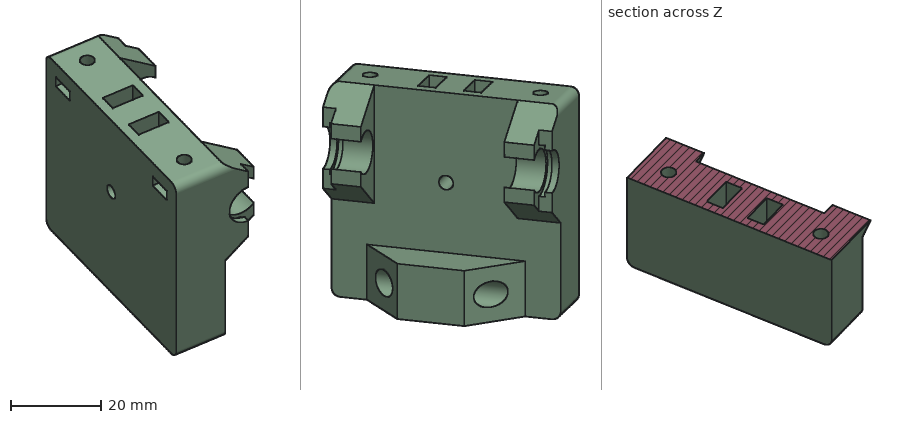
import cadquery as cq

WIDTH = 53.45
HEIGHT = 50.3
BODY_DEPTH = 12.95
CORNER_RADIUS = 2.05

TOTAL_DEPTH = 23.6
BAR_HEIGHT = BODY_DEPTH
BAR_TIP_WIDTH = 15.6
BAR_HOLE_DIAMETER = 6.0

ROD_Y = 18.9
CLIP_DEPTH = 22.35
CLIP_WIDTH = 10.0
CLIP_STEP_WIDTH = 3.05
CLIP_TIP_HALF_HEIGHT = 7.0
CLIP_ROOT_HALF_HEIGHT = 13.8
ROD_Z = HEIGHT - CLIP_ROOT_HALF_HEIGHT
ROD_DIAMETER = 9.85

GROOVE_DIAMETER = 12.0
RIM_WIDTH = 1.65
GROOVE_WIDTH = CLIP_STEP_WIDTH - RIM_WIDTH

SCREW_DIAMETER = 3.3
SCREW_X = 19.9
NUT_WIDTH = 5.8
NUT_THICKNESS = 2.65
NUT_Z = 44.95
NUT_POCKET_DEPTH = BODY_DEPTH / 2 + NUT_WIDTH / 2

SLOT_WIDTH = 4.1
SLOT_INNER_X = 3.25
SLOT_WALL = 2.5
SLOT_DEPTH = BODY_DEPTH - 2 * SLOT_WALL

CENTRE_HOLE_Z = 29.3
CONE_BASE_RADIUS = 4.55

SIDES = (-1, 1)


def block(x_centre, width, y_start, y_end, z_start, z_end):
    """Box given by its X centre and width and by its Y and Z limits."""
    return (
        cq.Workplane("XY")
        .box(width, y_end - y_start, z_end - z_start, centered=(True, False, False))
        .translate((x_centre, y_start, z_start))
    )


def y_cylinder(diameter, z):
    """Cylinder along Y through the full depth, on the middle plane."""
    return cq.Workplane("XZ", origin=(0, 0, z)).circle(diameter / 2).extrude(-TOTAL_DEPTH)


def x_cylinder(diameter, z, length=WIDTH, x_centre=0):
    """Cylinder along X at the depth of the rod axis, given by its X centre and length."""
    return cq.Workplane("YZ", origin=(x_centre, ROD_Y, z)).circle(diameter / 2).extrude(length / 2, both=True)


def rounded_envelope():
    """Width and height of the part with rounded corners, over the full depth."""
    return block(0, WIDTH, 0, TOTAL_DEPTH, 0, HEIGHT).edges("|Y").fillet(CORNER_RADIUS)


def clip_pair():
    """Tapered clips, stepped back to the rod axis at their outer ends."""
    profile = [
        (BODY_DEPTH, ROD_Z - CLIP_ROOT_HALF_HEIGHT),
        (CLIP_DEPTH, ROD_Z - CLIP_TIP_HALF_HEIGHT),
        (CLIP_DEPTH, ROD_Z + CLIP_TIP_HALF_HEIGHT),
        (BODY_DEPTH, ROD_Z + CLIP_ROOT_HALF_HEIGHT),
        (0, HEIGHT),
        (0, ROD_Z - CLIP_ROOT_HALF_HEIGHT),
    ]
    clips = cq.Workplane("YZ").polyline(profile).close().extrude(WIDTH / 2, both=True)
    gap_width = WIDTH - 2 * CLIP_WIDTH
    clips = clips.cut(block(0, gap_width, 0, TOTAL_DEPTH, 0, HEIGHT))
    for side in SIDES:
        step_x = side * (WIDTH - CLIP_STEP_WIDTH) / 2
        clips = clips.cut(block(step_x, CLIP_STEP_WIDTH, ROD_Y, TOTAL_DEPTH, 0, HEIGHT))
    return clips


def hinge_bar():
    """Trapezoid bar, widening at 45 degrees towards the body."""
    tip = BAR_TIP_WIDTH / 2
    root = tip + TOTAL_DEPTH - BODY_DEPTH
    profile = [(-root, BODY_DEPTH), (root, BODY_DEPTH), (tip, TOTAL_DEPTH), (-tip, TOTAL_DEPTH)]
    return cq.Workplane("XY").polyline(profile).close().extrude(BAR_HEIGHT)


def hole_cone():
    """Full 45 degree cone around the central hole, based on the front wall."""
    cone = cq.Solid.makeCone(
        CONE_BASE_RADIUS, 0, CONE_BASE_RADIUS, cq.Vector(0, SLOT_WALL, CENTRE_HOLE_Z), cq.Vector(0, 1, 0)
    )
    return cq.Workplane(cone)


body = block(0, WIDTH, 0, BODY_DEPTH, 0, HEIGHT)
result = body.union(clip_pair()).intersect(rounded_envelope()).union(hinge_bar())

result = result.cut(x_cylinder(ROD_DIAMETER, ROD_Z))
result = result.cut(x_cylinder(BAR_HOLE_DIAMETER, BAR_HEIGHT / 2))

for side in SIDES:
    slot_x = side * (SLOT_INNER_X + SLOT_WIDTH / 2)
    slot = block(slot_x, SLOT_WIDTH, SLOT_WALL, SLOT_WALL + SLOT_DEPTH, 0, HEIGHT)
    nut_pocket = block(
        side * SCREW_X, NUT_WIDTH, 0, NUT_POCKET_DEPTH, NUT_Z - NUT_THICKNESS / 2, NUT_Z + NUT_THICKNESS / 2
    )
    screw_hole = (
        cq.Workplane("XY").center(side * SCREW_X, BODY_DEPTH / 2).circle(SCREW_DIAMETER / 2).extrude(HEIGHT)
    )
    groove_x = side * (WIDTH / 2 - RIM_WIDTH - GROOVE_WIDTH / 2)
    groove = x_cylinder(GROOVE_DIAMETER, ROD_Z, GROOVE_WIDTH, groove_x)
    result = result.cut(groove).cut(slot).cut(nut_pocket).cut(screw_hole)

result = result.union(hole_cone()).cut(y_cylinder(SCREW_DIAMETER, CENTRE_HOLE_Z))